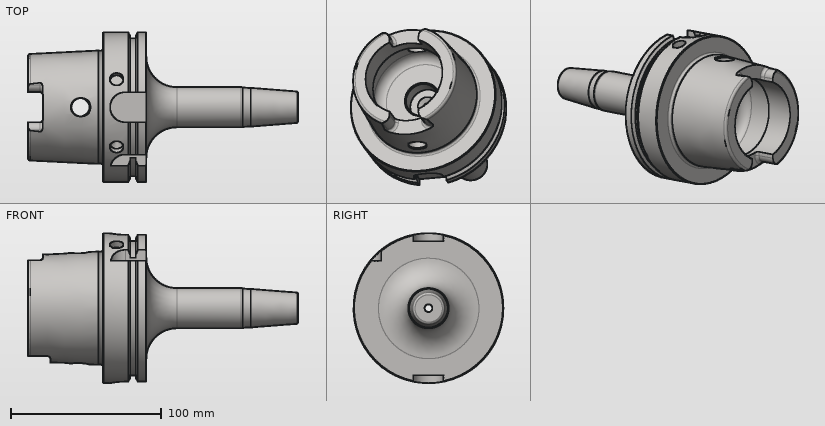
import cadquery as cq
import math


arc_mid = math.sqrt(0.5)

tail_x = -50.0
flange_width = 29.0
nose_x = 130.0

taper_gauge_x = -10.0
taper_gauge_radius = 75.0 / 2
taper_ratio = 0.05
root_band_length = 3.0
root_band_run_in = 0.6
root_band_radius = 75.36 / 2
root_fillet = 1.5
tail_rounding = 1.8

flange_radius = 50.0
flange_chamfer = 0.5
groove_x = 20.0
groove_floor_half = 1.9
groove_flank_height = 2.4
groove_flank_run = groove_flank_height * math.tan(math.radians(30))
groove_floor_radius = 46.0

shank_radius = 27.0 / 2
neck_radius = 20.0
nose_radius = 21.0 / 2
nose_angle = math.radians(4.5)
nose_rounding = 1.5
nose_length = (shank_radius - nose_radius) / math.tan(nose_angle)
ring_start_x = 93.0
ring_end_x = 98.4
ring_depth = 0.15

bore_radius = 53.0 / 2
chamber_radius = 63.0 / 2
shoulder_x = -30.5
chamber_floor_x = -2.5
floor_flat_radius = 24.8
floor_fillet = chamber_radius - floor_flat_radius
chamber_cone_run = (chamber_radius - bore_radius) / math.tan(math.radians(60))

drill_half_angle = math.radians(59)

thread_radius = 22.38 / 2
thread_mouth_radius = 23.8 / 2
thread_depth = 12.0
countersink_radius = 12.0 / 2
passage_radius = 5.0 / 2

slot_half_width = 10.0
slot_depth_top = 10.0
slot_depth_bottom = 15.0
slot_flare_radius = 5.0
slot_flare_top = 32.0
slot_floor_fillet = 2.0

wall_hole_x = -15.0
wall_hole_radius = 12.0 / 2
wall_hole_mouth_radius = 13.5 / 2

notch_radius = 10.0
notch_centre_x = 14.75
notch_floor = 44.5
corner_notch_offset = 31.5

rim_hole_radius = 9.0 / 2
rim_hole_x = 9.1
flat_hole_angle = 22.0
flat_hole_depth = 4.6
drilled_hole_angle = -32.0
drilled_hole_depth = 5.0


def taper_radius(x):
    return taper_gauge_radius + taper_ratio * (x - taper_gauge_x)


def revolve_about_x(profile):
    return profile.close().revolve(360, (0, 0, 0), (1, 0, 0))


def groove_points():
    rim_half = groove_floor_half + groove_flank_run
    flank_foot_radius = flange_radius - groove_flank_height
    return [
        (groove_x - rim_half, flange_radius),
        (groove_x - groove_floor_half, flank_foot_radius),
        (groove_x - groove_floor_half, groove_floor_radius),
        (groove_x + groove_floor_half, groove_floor_radius),
        (groove_x + groove_floor_half, flank_foot_radius),
        (groove_x + rim_half, flange_radius),
    ]


def turned_body():
    root_centre = (-root_fillet, root_band_radius + root_fillet)
    neck_centre = (flange_width + neck_radius, shank_radius + neck_radius)
    profile = (
        cq.Workplane("XY")
        .moveTo(tail_x, 0)
        .lineTo(tail_x, taper_radius(tail_x))
        .lineTo(-root_band_length, taper_radius(-root_band_length))
        .lineTo(root_band_run_in - root_band_length, root_band_radius)
        .lineTo(-root_fillet, root_band_radius)
        .threePointArc(
            (root_centre[0] + root_fillet * arc_mid, root_centre[1] - root_fillet * arc_mid),
            (0, root_centre[1]),
        )
        .lineTo(0, flange_radius - flange_chamfer)
        .lineTo(flange_chamfer, flange_radius)
    )
    for point in groove_points():
        profile = profile.lineTo(*point)
    profile = (
        profile
        .lineTo(flange_width - flange_chamfer, flange_radius)
        .lineTo(flange_width, flange_radius - flange_chamfer)
        .lineTo(flange_width, neck_centre[1])
        .threePointArc(
            (neck_centre[0] - neck_radius * arc_mid, neck_centre[1] - neck_radius * arc_mid),
            (neck_centre[0], shank_radius),
        )
        .lineTo(nose_x - nose_length, shank_radius)
        .lineTo(nose_x, nose_radius)
        .lineTo(nose_x, 0)
    )
    body = revolve_about_x(profile).faces(">X").edges().fillet(nose_rounding)
    return body.faces("<X").edges().fillet(tail_rounding)


def nose_ring():
    """Shallow band that follows the cone of the nose."""
    def cone_radius(x):
        return nose_radius + (nose_x - x) * math.tan(nose_angle)

    profile = (
        cq.Workplane("XY")
        .moveTo(ring_start_x, cone_radius(ring_start_x) - ring_depth)
        .lineTo(ring_start_x, flange_radius)
        .lineTo(ring_end_x, flange_radius)
        .lineTo(ring_end_x, cone_radius(ring_end_x) - ring_depth)
    )
    return revolve_about_x(profile)


def clamping_bore():
    fillet_x = chamber_floor_x - floor_fillet
    profile = (
        cq.Workplane("XY")
        .moveTo(tail_x, 0)
        .lineTo(tail_x, bore_radius)
        .lineTo(shoulder_x, bore_radius)
        .lineTo(shoulder_x + chamber_cone_run, chamber_radius)
        .lineTo(fillet_x, chamber_radius)
        .threePointArc(
            (fillet_x + floor_fillet * arc_mid, floor_flat_radius + floor_fillet * arc_mid),
            (chamber_floor_x, floor_flat_radius),
        )
        .lineTo(chamber_floor_x, 0)
    )
    return revolve_about_x(profile)


def coolant_passage():
    mouth_run = thread_mouth_radius - thread_radius
    thread_end_x = chamber_floor_x + thread_depth
    countersink_run = (countersink_radius - passage_radius) / math.tan(drill_half_angle)
    profile = (
        cq.Workplane("XY")
        .moveTo(chamber_floor_x, 0)
        .lineTo(chamber_floor_x, thread_mouth_radius)
        .lineTo(chamber_floor_x + mouth_run, thread_radius)
        .lineTo(thread_end_x, thread_radius)
        .lineTo(thread_end_x, countersink_radius)
        .lineTo(thread_end_x + countersink_run, passage_radius)
        .lineTo(nose_x, passage_radius)
        .lineTo(nose_x, 0)
    )
    return revolve_about_x(profile)


def drive_slot(depth, side):
    """Slot on the +Z (side = 1) or -Z (side = -1) half, flaring out to level shoulders."""
    flare_y = slot_half_width + slot_flare_radius
    flare_z = slot_flare_top - slot_flare_radius
    mid_y = flare_y - slot_flare_radius * arc_mid
    mid_z = flare_z + slot_flare_radius * arc_mid
    outer = flange_radius
    slot = (
        cq.Workplane("YZ", origin=(tail_x, 0, 0))
        .moveTo(-slot_half_width, 0)
        .lineTo(-slot_half_width, flare_z)
        .threePointArc((-mid_y, mid_z), (-flare_y, slot_flare_top))
        .lineTo(-outer, slot_flare_top)
        .lineTo(-outer, outer)
        .lineTo(outer, outer)
        .lineTo(outer, slot_flare_top)
        .lineTo(flare_y, slot_flare_top)
        .threePointArc((mid_y, mid_z), (slot_half_width, flare_z))
        .lineTo(slot_half_width, 0)
        .close()
        .extrude(depth)
        .faces(">X").edges("not(<Z or >Z or <Y or >Y)").fillet(slot_floor_fillet)
    )
    if side < 0:
        slot = slot.rotate((0, 0, 0), (1, 0, 0), 180)
    return slot


def wall_hole():
    """Round hole through both taper walls along Z, with a countersunk mouth on each."""
    bore = cq.Workplane("XY").center(wall_hole_x, 0).circle(wall_hole_radius)
    hole = bore.extrude(flange_radius, both=True)
    mouth_height = taper_radius(wall_hole_x)
    mouth_run = wall_hole_mouth_radius - wall_hole_radius
    for side in (1, -1):
        mouth = cq.Solid.makeCone(
            wall_hole_radius, wall_hole_mouth_radius, mouth_run,
            cq.Vector(wall_hole_x, 0, side * (mouth_height - mouth_run)), cq.Vector(0, 0, side),
        )
        hole = hole.union(cq.Workplane(mouth))
    return hole


def round_ended_notch(centre_y, floor_z):
    """Round-ended pocket milled down to floor_z, open at the +X side of the flange."""
    run = flange_width - notch_centre_x
    floor = cq.Workplane("XY", origin=(notch_centre_x, centre_y, floor_z))
    round_end = floor.circle(notch_radius).extrude(flange_radius)
    straight = floor.center(run / 2, 0).rect(run, 2 * notch_radius).extrude(flange_radius)
    return round_end.union(straight)


def rim_hole(angle, depth, drilled):
    """Blind radial hole in the flange rim with a flat or a drill-point floor."""
    floor_z = flange_radius - depth
    tip_z = floor_z - rim_hole_radius / math.tan(drill_half_angle) if drilled else floor_z
    mouth_z = flange_radius + depth
    hole = (
        cq.Workplane("XZ")
        .moveTo(0, mouth_z)
        .lineTo(rim_hole_radius, mouth_z)
        .lineTo(rim_hole_radius, floor_z)
        .lineTo(0, tip_z)
        .close()
        .revolve(360, (0, 0, 0), (0, 1, 0))
    )
    return hole.translate((rim_hole_x, 0, 0)).rotate((0, 0, 0), (1, 0, 0), -angle)


main_notch = round_ended_notch(0, notch_floor)
corner_notch = round_ended_notch(-corner_notch_offset - notch_radius, corner_notch_offset)

cutters = [
    nose_ring(),
    clamping_bore(),
    coolant_passage(),
    drive_slot(slot_depth_top, 1),
    drive_slot(slot_depth_bottom, -1),
    wall_hole(),
    main_notch,
    main_notch.mirror("XY"),
    corner_notch,
    rim_hole(flat_hole_angle, flat_hole_depth, False),
    rim_hole(drilled_hole_angle, drilled_hole_depth, True),
]

result = turned_body()
for cutter in cutters:
    result = result.cut(cutter)